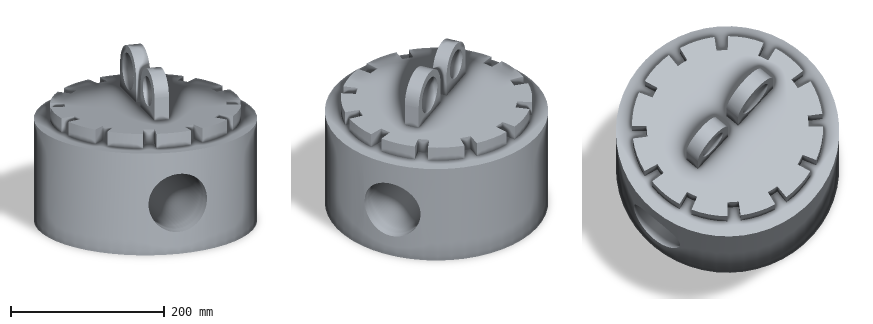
import cadquery as cq

body_diameter = 292.0
body_height = 140.2
bore_diameter = 80.0
bore_center_z = body_height / 2

disk_diameter = 250.0
disk_height = 20.0
notch_count = 12
notch_angle = 8.0
notch_floor_radius = 105.7
notch_overshoot = 3.0
disk_top_z = body_height + disk_height

lug_thickness = 20.0
lug_eye_height = 31.2
large_lug_width = 69.5
large_eye_diameter = 49.5
large_lug_x = -44.5
small_lug_width = 60.2
small_eye_diameter = 40.0
small_lug_x = 40.3


def make_body():
    """Solid drum pierced right through along X."""
    drum = cq.Workplane("XY").circle(body_diameter / 2).extrude(body_height)
    bore = (
        cq.Workplane("YZ", origin=(-body_diameter / 2, 0, bore_center_z))
        .circle(bore_diameter / 2)
        .extrude(body_diameter)
    )
    return drum.cut(bore)


def make_notch(direction):
    """Ring sector with radial sides, centred on the given angle about Z."""
    sector_outer_radius = disk_diameter / 2 + notch_overshoot
    sector = (
        cq.Workplane("XZ")
        .moveTo(notch_floor_radius, body_height)
        .lineTo(sector_outer_radius, body_height)
        .lineTo(sector_outer_radius, disk_top_z)
        .lineTo(notch_floor_radius, disk_top_z)
        .close()
        .revolve(notch_angle, (0, 0, 0), (0, 1, 0))
    )
    return sector.rotate((0, 0, 0), (0, 0, 1), direction - notch_angle / 2)


def make_disk():
    """Disk whose rim is split into equal teeth, the first centred on +X."""
    disk = cq.Workplane("XY", origin=(0, 0, body_height)).circle(disk_diameter / 2).extrude(disk_height)
    pitch = 360.0 / notch_count
    for index in range(notch_count):
        disk = disk.cut(make_notch((index + 0.5) * pitch))
    return disk


def make_lug(center_x, width, eye_diameter):
    """Round-topped plate with a concentric eye through it along Y."""
    radius = width / 2
    plate = (
        cq.Workplane("XZ", origin=(center_x, lug_thickness / 2, disk_top_z))
        .moveTo(-radius, 0)
        .lineTo(-radius, lug_eye_height)
        .threePointArc((0, lug_eye_height + radius), (radius, lug_eye_height))
        .lineTo(radius, 0)
        .close()
        .extrude(lug_thickness)
    )
    eye = (
        cq.Workplane("XZ", origin=(center_x, lug_thickness / 2, disk_top_z + lug_eye_height))
        .circle(eye_diameter / 2)
        .extrude(lug_thickness)
    )
    return plate.cut(eye)


result = (
    make_body()
    .union(make_disk())
    .union(make_lug(large_lug_x, large_lug_width, large_eye_diameter))
    .union(make_lug(small_lug_x, small_lug_width, small_eye_diameter))
)